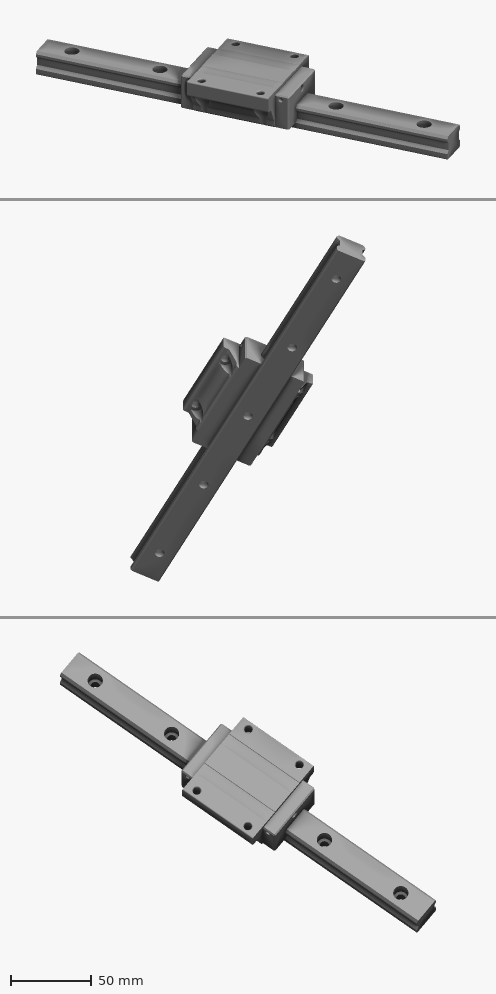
import cadquery as cq

RAIL_LENGTH = 280.0
RAIL_WIDTH = 20.0
RAIL_HEIGHT = 16.2
RAIL_TOP_WIDTH = 16.8
RAIL_WAIST_WIDTH = 16.0
RAIL_BASE_CHAMFER = 0.8
HEAD_UPPER_Z = 14.5
HEAD_LOWER_Z = 13.0
WAIST_UPPER_Z = 11.0
WAIST_LOWER_Z = 6.2
FOOT_UPPER_Z = 4.2

RAIL_HOLE_COUNT = 5
RAIL_HOLE_PITCH = 60.0
RAIL_HOLE_DIAMETER = 6.0
COUNTERBORE_DIAMETER = 9.5
COUNTERBORE_DEPTH = 8.5

TOP_Z = 30.0
CARRIAGE_BOTTOM_Z = 4.5
BLOCK_LENGTH = 55.2
FLANGE_WIDTH = 63.0
FLANGE_BOTTOM_Z = 19.5
FLANGE_TOP_FILLET = 0.8
FLANGE_BOTTOM_FILLET = 1.5
SLOPE_TOP_WIDTH = 55.0
SLOPE_BOTTOM_Z = 9.2
SLOPE_FILLET = 1.7
SKIRT_WIDTH = 44.5
SKIRT_CHAMFER = 1.5

STRIP_OFFSET = 12.5
STRIP_WIDTH = 8.7
STRIP_DEPTH = 0.3

FLANGE_HOLE_PITCH_X = 40.0
FLANGE_HOLE_PITCH_Y = 53.0
FLANGE_HOLE_DIAMETER = 5.0
FLANGE_HOLE_MOUTH_DIAMETER = 6.0
SPOTFACE_DIAMETER = 9.5

CARRIAGE_LENGTH = 73.5
CAP_WIDTH = 41.5
CAP_TOP_Z = 27.5
CAP_CHAMFER = 0.8
CAP_LENGTH = (CARRIAGE_LENGTH - BLOCK_LENGTH) / 2

END_PORT_DIAMETER = 5.0
END_PORT_Z = 23.8
SIDE_PORT_DIAMETER = 3.0
SIDE_PORT_X = 31.5
SIDE_PORT_Z = 24.5
PORT_DEPTH = 2.8


def rail_prism(length):
    """Plain rail section, extruded along X and centred on the origin."""
    right_side = [
        (RAIL_WIDTH / 2 - RAIL_BASE_CHAMFER, 0),
        (RAIL_WIDTH / 2, RAIL_BASE_CHAMFER),
        (RAIL_WIDTH / 2, FOOT_UPPER_Z),
        (RAIL_WAIST_WIDTH / 2, WAIST_LOWER_Z),
        (RAIL_WAIST_WIDTH / 2, WAIST_UPPER_Z),
        (RAIL_WIDTH / 2, HEAD_LOWER_Z),
        (RAIL_WIDTH / 2, HEAD_UPPER_Z),
        (RAIL_TOP_WIDTH / 2, RAIL_HEIGHT),
    ]
    left_side = [(-y, z) for y, z in reversed(right_side)]
    return cq.Workplane("YZ").polyline(right_side + left_side).close().extrude(length / 2, both=True)


def make_rail():
    """Rail with a row of counterbored mounting holes."""
    return (
        rail_prism(RAIL_LENGTH)
        .faces(">Z").workplane(origin=(0, 0, RAIL_HEIGHT))
        .rarray(RAIL_HOLE_PITCH, 2.8, RAIL_HOLE_COUNT, 1)
        .cboreHole(RAIL_HOLE_DIAMETER, COUNTERBORE_DIAMETER, COUNTERBORE_DEPTH)
    )


def make_block():
    """Flanged middle of the carriage, with sides that slope in below the flanges."""
    right_side = [
        (SKIRT_WIDTH / 2 - SKIRT_CHAMFER, CARRIAGE_BOTTOM_Z),
        (SKIRT_WIDTH / 2, CARRIAGE_BOTTOM_Z + SKIRT_CHAMFER),
        (SKIRT_WIDTH / 2, SLOPE_BOTTOM_Z),
        (SLOPE_TOP_WIDTH / 2, FLANGE_BOTTOM_Z),
        (FLANGE_WIDTH / 2, FLANGE_BOTTOM_Z),
        (FLANGE_WIDTH / 2, TOP_Z),
    ]
    left_side = [(-y, z) for y, z in reversed(right_side)]
    block = cq.Workplane("YZ").polyline(right_side + left_side).close().extrude(BLOCK_LENGTH / 2, both=True)

    def edges_at(width, z):
        points = [(0, side * width / 2, z) for side in (-1, 1)]
        selector = cq.selectors.NearestToPointSelector
        return selector(points[0]) + selector(points[1])

    block = block.edges(edges_at(FLANGE_WIDTH, TOP_Z)).fillet(FLANGE_TOP_FILLET)
    block = block.edges(edges_at(FLANGE_WIDTH, FLANGE_BOTTOM_Z)).fillet(FLANGE_BOTTOM_FILLET)
    return block.edges(edges_at(SLOPE_TOP_WIDTH, FLANGE_BOTTOM_Z)).fillet(SLOPE_FILLET)


def make_top_strips():
    """Cutters for the two shallow strips with sloping walls along the carriage top."""
    section = [
        (-STRIP_WIDTH / 2, 0),
        (STRIP_WIDTH / 2, 0),
        (STRIP_WIDTH / 2 - STRIP_DEPTH, -STRIP_DEPTH),
        (-STRIP_WIDTH / 2 + STRIP_DEPTH, -STRIP_DEPTH),
    ]
    strips = cq.Workplane("YZ")
    for side in (-1, 1):
        strip = (
            cq.Workplane("YZ", origin=(0, side * STRIP_OFFSET, TOP_Z))
            .polyline(section).close()
            .extrude(BLOCK_LENGTH / 2, both=True)
        )
        strips = strips.add(strip)
    return strips.combine()


def make_flange_holes():
    """Cutters for the flange holes, chamfered at the top, with spotfaces that clear the slopes below."""
    mouth_chamfer = (FLANGE_HOLE_MOUTH_DIAMETER - FLANGE_HOLE_DIAMETER) / 2
    section = [
        (0, 0),
        (SPOTFACE_DIAMETER / 2, 0),
        (SPOTFACE_DIAMETER / 2, FLANGE_BOTTOM_Z),
        (FLANGE_HOLE_DIAMETER / 2, FLANGE_BOTTOM_Z),
        (FLANGE_HOLE_DIAMETER / 2, TOP_Z - mouth_chamfer),
        (FLANGE_HOLE_MOUTH_DIAMETER / 2, TOP_Z),
        (0, TOP_Z),
    ]
    cutter = cq.Workplane("XZ").polyline(section).close().revolve(360, (0, 0), (0, 1)).val()
    return (
        cq.Workplane("XY")
        .rarray(FLANGE_HOLE_PITCH_X, FLANGE_HOLE_PITCH_Y, 2, 2)
        .eachpoint(lambda place: cutter.located(place))
    )


def make_end_cap(side):
    """End cap with its grease ports, on the -X (side = -1) or +X (side = 1) end of the block."""
    outer = ">X" if side > 0 else "<X"
    height = CAP_TOP_Z - CARRIAGE_BOTTOM_Z
    cap = (
        cq.Workplane("XY", origin=(side * (BLOCK_LENGTH + CAP_LENGTH) / 2, 0, CARRIAGE_BOTTOM_Z))
        .box(CAP_LENGTH, CAP_WIDTH, height, centered=(True, True, False))
    )
    cap = cap.edges(f"(|X and >Z) or ({outer} and (|Z or >Z))").chamfer(CAP_CHAMFER)

    end_port = (
        cq.Workplane("YZ", origin=(side * CARRIAGE_LENGTH / 2, 0, END_PORT_Z))
        .circle(END_PORT_DIAMETER / 2)
        .extrude(-side * PORT_DEPTH)
    )
    cap = cap.cut(end_port)
    for port_side in (-1, 1):
        side_port = (
            cq.Workplane("XZ", origin=(side * SIDE_PORT_X, port_side * CAP_WIDTH / 2, SIDE_PORT_Z))
            .circle(SIDE_PORT_DIAMETER / 2)
            .extrude(port_side * PORT_DEPTH)
        )
        cap = cap.cut(side_port)
    return cap


def make_carriage():
    """Block and end caps in one piece, with a channel that fits the rail."""
    carriage = make_block().cut(make_top_strips()).cut(make_flange_holes())
    for side in (-1, 1):
        carriage = carriage.union(make_end_cap(side))
    return carriage.cut(rail_prism(CARRIAGE_LENGTH))


rail = make_rail()
carriage = make_carriage()

result = cq.Compound.makeCompound([*rail.solids().vals(), *carriage.solids().vals()])